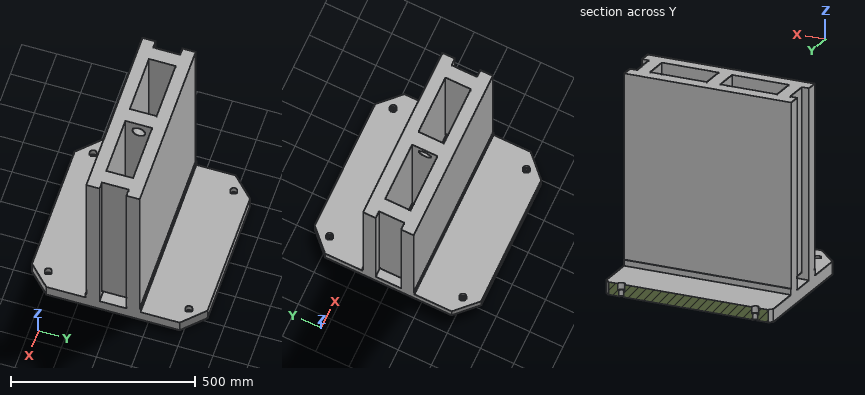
import cadquery as cq

base_side = 500.0
base_thickness = 38.5
corner_chamfer = 60
bolt_inset = 50.0
bolt_diameter = 14.0
counterbore_diameter = 20.0
counterbore_depth = 20.0

total_height = 600
upright_thickness = 152.0
foot_thickness = 156.5
foot_height = 17.5
cavity_width = 76.0
end_groove_depth = 21.0
end_web_thickness = 39.0
middle_web_thickness = 40.0
drain_height = 20.0
cable_hole_diameter = 36
cable_hole_drop = 38.0

upright_height = total_height - base_thickness
pocket_start = middle_web_thickness / 2
end_web_outer = base_side / 2 - end_groove_depth
pocket_length = end_web_outer - end_web_thickness - pocket_start


def block_on_base(length, width, height, center_x=0):
    """Box standing on the top face of the base plate, centered on the X axis."""
    block = cq.Workplane("XY").box(length, width, height, centered=(True, True, False))
    return block.translate((center_x, 0, base_thickness))


bolt_spacing = base_side - 2 * bolt_inset
base = (
    cq.Workplane("XY")
    .box(base_side, base_side, base_thickness, centered=(True, True, False))
    .edges("|Z")
    .chamfer(corner_chamfer)
    .faces(">Z")
    .workplane()
    .rect(bolt_spacing, bolt_spacing, forConstruction=True)
    .vertices()
    .cboreHole(bolt_diameter, counterbore_diameter, counterbore_depth)
)

upright = block_on_base(base_side, upright_thickness, upright_height)
foot = block_on_base(base_side, foot_thickness, foot_height)
result = base.union(upright).union(foot)

for side in (-1, 1):
    pocket_center = side * (pocket_start + pocket_length / 2)
    pocket = block_on_base(pocket_length, cavity_width, upright_height, pocket_center)
    groove_center = side * (base_side - end_groove_depth) / 2
    groove = block_on_base(end_groove_depth, cavity_width, upright_height, groove_center)
    drain_center = side * (end_web_outer - end_web_thickness / 2)
    drain = block_on_base(end_web_thickness, cavity_width, drain_height, drain_center)
    result = result.cut(pocket).cut(groove).cut(drain)

cable_hole = (
    cq.Workplane("YZ")
    .center(0, total_height - cable_hole_drop)
    .circle(cable_hole_diameter / 2)
    .extrude(middle_web_thickness / 2, both=True)
)
result = result.cut(cable_hole)